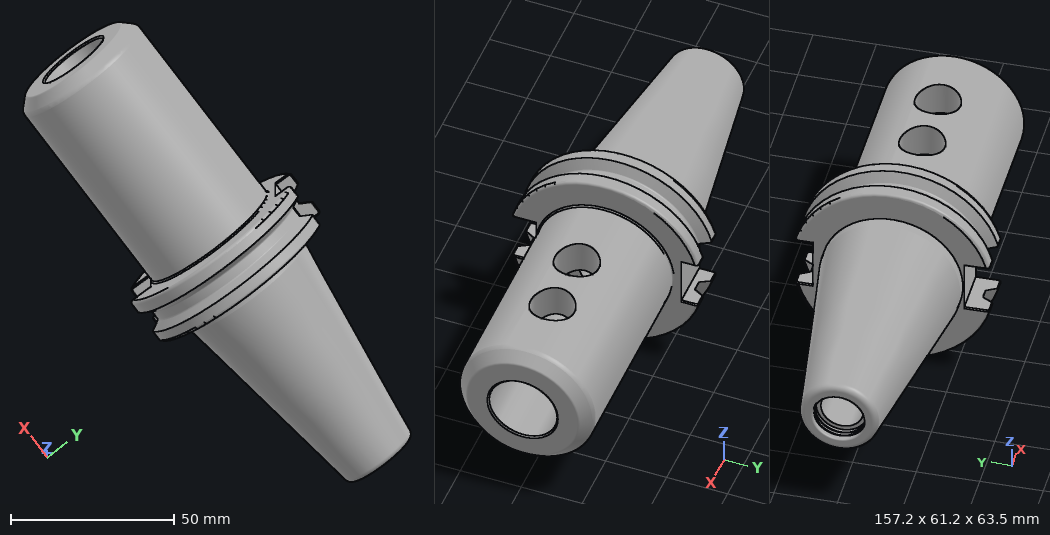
import cadquery as cq
import math

SHANK_DIAMETER = 44.45
SHANK_RADIUS = SHANK_DIAMETER / 2

TAPER_LENGTH = 68.25
TAPER_RATIO = 7 / 24
TAPER_END = -TAPER_LENGTH
TAPER_END_RADIUS = (SHANK_DIAMETER - TAPER_LENGTH * TAPER_RATIO) / 2
TAPER_END_FILLET = 2.0

FLANGE_START = 3.18
FLANGE_WIDTH = 15.875
FLANGE_CENTRE = FLANGE_START + FLANGE_WIDTH / 2
FLANGE_END = FLANGE_START + FLANGE_WIDTH
FLANGE_RADIUS = 63.5 / 2
FLANGE_RIM_FILLET = 1.0
FLANGE_ROOT_FILLET = 0.5

GROOVE_CENTRE = 11.1
GROOVE_FLOOR_RADIUS = 28.3
GROOVE_FLOOR_WIDTH = 3.4
GROOVE_FLOOR_FILLET = 0.5
GROOVE_HALF_ANGLE = 30

SLOT_WIDTH = 16.3
SLOT_EDGE_CHAMFER = 0.4
SHALLOW_SLOT_FLOOR = 25.0
DEEP_SLOT_FLOOR = 22.6

NOSE_END = 88.9
NOSE_CHAMFER = 3.8
NOSE_CHAMFER_FILLET = 2.0
NOSE_FACE_FILLET = 1.0

TOOL_BORE_DIAMETER = 22.23
TOOL_BORE_MOUTH_DIAMETER = 23.23
TOOL_BORE_DEPTH = 65.0

THREAD_DIAMETER = 13.39
PILOT_DIAMETER = 16.3
PILOT_DEPTH = 5.0
PILOT_MOUTH_FILLET = 0.5
PILOT_GROOVE_DIAMETER = 16.8
PILOT_GROOVE_START = 2.2
PILOT_GROOVE_WIDTH = 1.5

SET_SCREW_DIAMETER = 14.35
FIRST_SET_SCREW = 42.9
SET_SCREW_SPACING = 20.7
SET_SCREW_COUNT = 2


def revolve_about_x(profile):
    """Close an open (x, radius) profile and revolve it around the spindle axis."""
    return profile.close().revolve(360, (0, 0, 0), (1, 0, 0))


def cylinder(start, length, diameter):
    """Cylinder on the spindle axis that runs toward +X from start."""
    return cq.Workplane("YZ", origin=(start, 0, 0)).circle(diameter / 2).extrude(length)


def make_taper():
    """Taper with its rounded small end and the short collar that meets the flange."""
    taper = revolve_about_x(
        cq.Workplane("XY")
        .moveTo(TAPER_END, 0)
        .lineTo(TAPER_END, TAPER_END_RADIUS)
        .lineTo(0, SHANK_RADIUS)
        .lineTo(FLANGE_START, SHANK_RADIUS)
        .lineTo(FLANGE_START, 0)
    )
    return taper.faces("<X").edges().fillet(TAPER_END_FILLET)


def make_nose():
    """Cylindrical nose with a chamfered end whose two corners are rounded."""
    nose = cylinder(FLANGE_END, NOSE_END - FLANGE_END, SHANK_DIAMETER)
    nose = nose.faces(">X").edges().chamfer(NOSE_CHAMFER)
    chamfer_start = nose.edges("%CIRCLE").edges(">>X[-2]")
    nose = chamfer_start.fillet(NOSE_CHAMFER_FILLET)
    return nose.faces(">X").edges().fillet(NOSE_FACE_FILLET)


def make_slot(side, floor):
    """Cutter for the drive slot on one Y side of the flange (+1 or -1)."""
    depth = FLANGE_RADIUS - floor
    centre = (FLANGE_CENTRE, side * (floor + depth / 2), 0)
    return cq.Workplane("XY", origin=centre).box(FLANGE_WIDTH, depth, SLOT_WIDTH)


def make_groove():
    """Ring that cuts the V-groove, with rounded floor corners."""
    depth = FLANGE_RADIUS - GROOVE_FLOOR_RADIUS
    half_floor = GROOVE_FLOOR_WIDTH / 2
    half_mouth = half_floor + depth * math.tan(math.radians(GROOVE_HALF_ANGLE))
    ring = revolve_about_x(
        cq.Workplane("XY")
        .moveTo(GROOVE_CENTRE - half_floor, GROOVE_FLOOR_RADIUS)
        .lineTo(GROOVE_CENTRE + half_floor, GROOVE_FLOOR_RADIUS)
        .lineTo(GROOVE_CENTRE + half_mouth, FLANGE_RADIUS)
        .lineTo(GROOVE_CENTRE - half_mouth, FLANGE_RADIUS)
    )
    floor_corners = cq.selectors.RadiusNthSelector(0)
    return ring.edges("%CIRCLE").edges(floor_corners).fillet(GROOVE_FLOOR_FILLET)


def slot_wall_edges(flange):
    """Outer edges of the slot side walls, leaving out those on the slot floors."""
    half_slot = SLOT_WIDTH / 2
    tolerance = 0.01
    picked = []
    for edge in flange.edges().vals():
        box = edge.BoundingBox()
        on_wall = box.zlen < tolerance and abs(abs(edge.Center().z) - half_slot) < tolerance
        on_floor = abs(box.xlen - FLANGE_WIDTH) < tolerance
        if on_wall and not on_floor:
            picked.append(edge)
    return flange.newObject(picked)


def make_flange():
    """Flange with rounded rims, two drive slots with broken edges, and a V-groove."""
    flange = cylinder(FLANGE_START, FLANGE_WIDTH, 2 * FLANGE_RADIUS)
    flange = flange.edges("%CIRCLE").fillet(FLANGE_RIM_FILLET)
    flange = flange.cut(make_slot(1, SHALLOW_SLOT_FLOOR))
    flange = flange.cut(make_slot(-1, DEEP_SLOT_FLOOR))
    flange = slot_wall_edges(flange).chamfer(SLOT_EDGE_CHAMFER)
    return flange.cut(make_groove())


def make_flange_root():
    """Ring that forms the concave fillet between the flange and the nose."""
    fillet_end = FLANGE_END + FLANGE_ROOT_FILLET
    fillet_top = SHANK_RADIUS + FLANGE_ROOT_FILLET
    arc_middle = FLANGE_ROOT_FILLET * math.sqrt(0.5)
    return revolve_about_x(
        cq.Workplane("XY")
        .moveTo(FLANGE_END, TOOL_BORE_MOUTH_DIAMETER / 2)
        .lineTo(FLANGE_END, fillet_top)
        .threePointArc((fillet_end - arc_middle, fillet_top - arc_middle), (fillet_end, SHANK_RADIUS))
        .lineTo(fillet_end, TOOL_BORE_MOUTH_DIAMETER / 2)
    )


def make_tool_bore():
    """Cutter for the tool bore and the 45 degree lead-in at its mouth."""
    bore_radius = TOOL_BORE_DIAMETER / 2
    mouth_radius = TOOL_BORE_MOUTH_DIAMETER / 2
    bore_floor = NOSE_END - TOOL_BORE_DEPTH
    lead_in = mouth_radius - bore_radius
    return revolve_about_x(
        cq.Workplane("XY")
        .moveTo(bore_floor, 0)
        .lineTo(bore_floor, bore_radius)
        .lineTo(NOSE_END - lead_in, bore_radius)
        .lineTo(NOSE_END, mouth_radius)
        .lineTo(NOSE_END, 0)
    )


def make_knob_hole():
    """Cutter for the threaded hole, its wider pilot and the shallow groove in the pilot."""
    hole_length = NOSE_END - TOOL_BORE_DEPTH - TAPER_END
    thread = cylinder(TAPER_END, hole_length, THREAD_DIAMETER)
    pilot = cylinder(TAPER_END, PILOT_DEPTH, PILOT_DIAMETER)
    groove = cylinder(TAPER_END + PILOT_GROOVE_START, PILOT_GROOVE_WIDTH, PILOT_GROOVE_DIAMETER)
    return thread.union(pilot).union(groove)


def make_set_screw_hole(position):
    """Cutter for one set screw hole that runs from the axis out through the top."""
    plane = cq.Workplane("XY", origin=(position, 0, 0))
    return plane.circle(SET_SCREW_DIAMETER / 2).extrude(SHANK_RADIUS)


body = make_taper().union(make_flange()).union(make_nose()).union(make_flange_root())

body = body.cut(make_knob_hole())
pilot_mouth = body.faces("<X").edges(cq.selectors.RadiusNthSelector(0))
body = pilot_mouth.fillet(PILOT_MOUTH_FILLET)

body = body.cut(make_tool_bore())
for index in range(SET_SCREW_COUNT):
    body = body.cut(make_set_screw_hole(FIRST_SET_SCREW + index * SET_SCREW_SPACING))

result = body